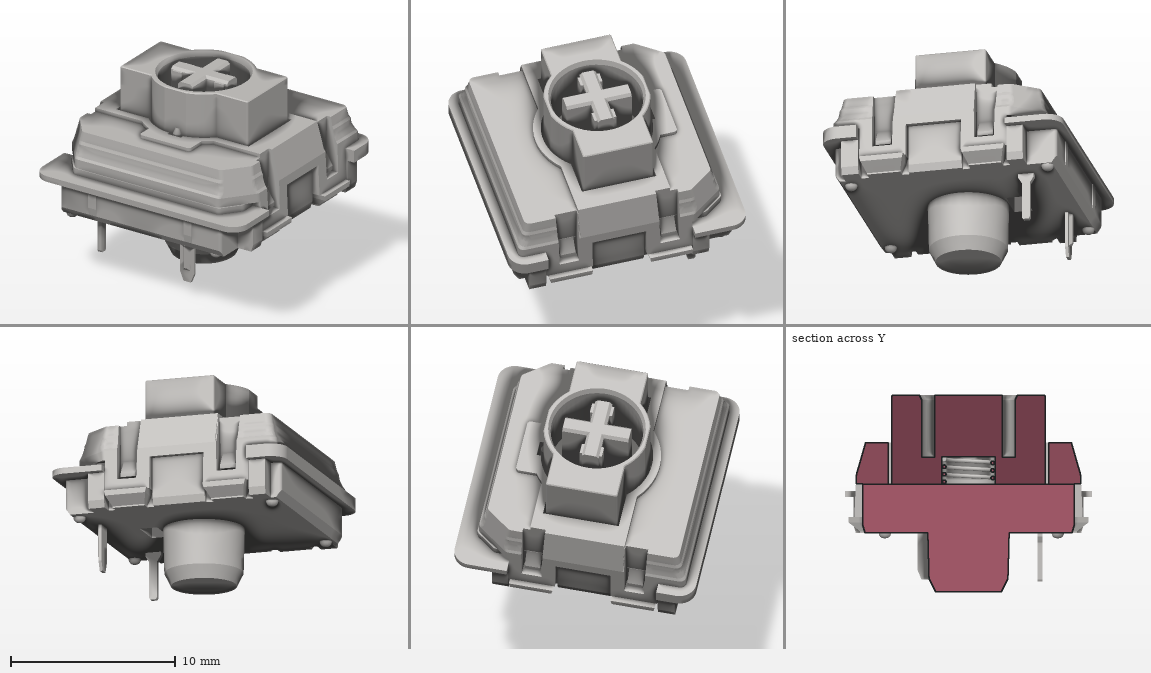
import cadquery as cq
import math

POST_BOTTOM = -3.58
PLATE_BOTTOM = 2.18
PLATE_FRONT_TOP = 2.55
BASE_TOP = 2.97
COVER_TOP = 5.24
PLATEAU_TOP = 5.49
STEM_TOP = 8.37
OVERLAP = 0.15

PLATE_SIZE = 15
PLATE_CORNER_R = 1.05
PLATE_REAR_Y = 5.22
PLATE_FRONT_Y = -4.06
CORE_HALF_X = 5.88
CORE_HALF_Y = 6.95
CORE_CORNER_R = 0.2
CORE_FOOT_Z = 0.46
CORE_FOOT_Y = 6.62
CHEST_HALF_X = 6.06
CHEEK_HALF_X = 7.0
CHEEK_FOOT_X = 6.85
CHEEK_REAR_Y = 6.27
CHEEK_FRONT_Y = -5.08
BLOCK_HALF_X = 6.45
BLOCK_FRONT_Y = -1.12
BLOCK_REAR_Y = 2.2
PAD_HALF_X = 6.3
PAD_FRONT_Y = -6.35
WALL_RIB_X = 3.5
WALL_RIB_WIDTH = 0.55
WALL_RIB_HEIGHT = 0.08
WALL_RIB_Z = 0.96
LIGHT_HOLE_X = (-0.98, 1.35)
LIGHT_HOLE_Y = (-3.68, -2.55)
POST_TOP_R = 2.49
POST_LOW_R = 2.42
POST_TIP_R = 2.01
POST_BEVEL_Z = -2.78
FOOT_R = 0.38
FOOT_HEIGHT = 0.33
FOOT_ROUND = 0.32
FEET = [(-5.43, -6.27), (-5.13, 6.09), (5.08, -6.27), (5.08, 6.09)]

LEG_SPANS = [(-4.05, -1.18), (2.26, 5.16)]
LEG_BOTTOM = 0.96
LIP_HALF_X = 7.29
LIP_EDGE_Z = 0.63
LIP_LOW_Z = 0.09
LIP_FOOT_X = 6.6
LIP_SIDE_GAP = 0.08
LIP_EDGE_DRAFT = 0.08
LIP_SIDE_DRAFT = 0.33
SLOT_CENTRES = [-2.64, 3.74]
SLOT_HALF_TOP = 0.7
SLOT_HALF_BOTTOM = 0.62
SLOT_BOTTOM = 1.7
SLOT_HALF_X = 6.03
HOOK_WIDTH = 0.96
HOOK_HALF_X = 6.6
HOOK_NOSE_TOP = 2.15
HOOK_NOSE_BOTTOM = 1.89

COVER_HALF_X = 6.82
COVER_FRONT_Y = -6.25
COVER_REAR_Y = 6.87
WALL_DRAFT = 0.046
OUTLINE_ROUND = 0.38
BAND_TOP = 4.64
BAND_LOW = 4.44
HOLLOW_MID = 4.08
SHOULDER_TOP = 3.7
SHOULDER = 3.55
TOP_INSET = 0.51
BAND_TOP_INSET = 0.39
BAND_LOW_INSET = 0.3
HOLLOW_INSET = 0.25
SHOULDER_TOP_INSET = 0.1
CORNER_ANGLE = 38
CORNER_DISTANCE = 7.98
CORNER_TOP_DISTANCE = 7.53
CORNER_PAD_DISTANCE = 8.08
PANEL_TOP_HALF_X = 6.27
PLATEAU_FRONT_Y = -2.9
PLATEAU_REAR_Y = 3
PLATEAU_R = 3.9
TONGUE_X = (-1.65, 2.05)
TONGUE_FRONT_Y = -4.64
TONGUE_ROUND = 0.22
OPENING_HALF_X = 4.86
OPENING_HALF_Y = 2.35
OPENING_R = 3.42
NOTCH_X = (-0.28, 0.7)
NOTCH_FRONT_Y = -3.6

STEM_HALF_X = 4.68
STEM_HALF_Y = 2.22
STEM_EDGE_ROUND = 0.12
STEM_R = 3.25
STEM_FLAT_Y = 3.158
STEM_TOP_BEVEL = 0.06
WELL_R = 2.82
WELL_RIM_R = 2.97
WELL_RIM_DEPTH = 0.3
WELL_DEPTH = 3.75
SPRING_BORE_R = 1.62
CROSS_LENGTH = 4.11
CROSS_WIDTH = 1.05
CROSS_BEVEL = 0.16
CROSS_PAD_X = 1.53
CROSS_PAD_LENGTH = 0.69
CROSS_PAD_WIDTH = 1.38
NIB_X = 0.18
NIB_R = 0.28
NIB_TIP_R = 0.14
NIB_TOP = 5.82

SPRING_WIRE_R = 0.12
SPRING_COIL_R = 1.47
SPRING_TURNS = 3
SPRING_END_GAP = 0.02

PIN_ROOT_Z = 0.6
SIDE_PIN_X = -4.35
SIDE_PIN_Y = -4.68
SIDE_PIN_THICKNESS = 0.32
SIDE_PIN_WIDTH = 0.51
SIDE_PIN_ROOT_WIDTH = 0.99
SIDE_PIN_SHOULDER = -0.22
SIDE_PIN_NECK = -0.6
SIDE_PIN_TAPER = -2.84
SIDE_PIN_TIP = -2.97
SIDE_PIN_TIP_WIDTH = 0.36
FRONT_PIN_X = 2.6
FRONT_PIN_Y = (-5.73, -5.54)
FRONT_PIN_WIDTH = 1.0
FRONT_PIN_TAPER = -2.26
FRONT_PIN_TIP = -2.85
FRONT_PIN_TIP_WIDTH = 0.52
BEAD_WIDTH = 0.51
BEAD_CREST_WIDTH = 0.18
BEAD_HEIGHT = 0.18
BEAD_FLAT_END = -1.89
BEAD_END = -2.08


def box(x_range, y_range, z_range):
    size = [high - low for low, high in (x_range, y_range, z_range)]
    low_corner = (x_range[0], y_range[0], z_range[0])
    return cq.Workplane("XY").box(*size, centered=False).translate(low_corner)


def along_y(points, y_low, y_high):
    """Extrude an outline of (x, z) points from y_low to y_high."""
    return cq.Workplane("XZ", origin=(0, y_high, 0)).polyline(points).close().extrude(y_high - y_low)


def along_x(points, x_low, x_high):
    """Extrude an outline of (y, z) points from x_low to x_high."""
    return cq.Workplane("YZ", origin=(x_low, 0, 0)).polyline(points).close().extrude(x_high - x_low)


def both_sides(shape):
    """The shape together with its mirror image across the YZ plane."""
    return shape.union(shape.mirror("YZ"))


def cylinder(radius, z_low, z_high):
    return cq.Workplane("XY", origin=(0, 0, z_low)).circle(radius).extrude(z_high - z_low)


def cone(low_radius, high_radius, z_low, z_high):
    outline = [(0, z_low), (low_radius, z_low), (high_radius, z_high), (0, z_high)]
    return cq.Workplane("XZ").polyline(outline).close().revolve(360, (0, 0, 0), (0, 1, 0))


def rounded_outline(half_x, front_y, rear_y, corner_distance):
    """Rectangle with its front corners cut off at CORNER_ANGLE, and all its corners rounded."""
    across = math.cos(math.radians(CORNER_ANGLE))
    along = math.sin(math.radians(CORNER_ANGLE))
    cut_side_y = -(corner_distance - half_x * across) / along
    cut_front_x = (corner_distance + front_y * along) / across
    points = [
        (half_x, rear_y), (-half_x, rear_y), (-half_x, cut_side_y),
        (-cut_front_x, front_y), (cut_front_x, front_y), (half_x, cut_side_y),
    ]
    return cq.Sketch().polygon(points + points[:1]).vertices().fillet(OUTLINE_ROUND)


def make_side_pin():
    half = SIDE_PIN_WIDTH / 2
    root = SIDE_PIN_ROOT_WIDTH / 2
    tip = SIDE_PIN_TIP_WIDTH / 2
    right_edge = [
        (root, PIN_ROOT_Z), (root, SIDE_PIN_SHOULDER), (half, SIDE_PIN_NECK),
        (half, SIDE_PIN_TAPER), (tip, SIDE_PIN_TIP),
    ]
    outline = right_edge + [(-y, z) for y, z in reversed(right_edge)]
    half_thickness = SIDE_PIN_THICKNESS / 2
    return along_x(outline, -half_thickness, half_thickness).translate((SIDE_PIN_X, SIDE_PIN_Y, 0))


def make_front_pin():
    half = FRONT_PIN_WIDTH / 2
    tip = FRONT_PIN_TIP_WIDTH / 2
    outline = [
        (-half, PIN_ROOT_Z), (half, PIN_ROOT_Z), (half, FRONT_PIN_TAPER),
        (tip, FRONT_PIN_TIP), (-tip, FRONT_PIN_TIP), (-half, FRONT_PIN_TAPER),
    ]
    blade = along_y(outline, *FRONT_PIN_Y)
    face_y = FRONT_PIN_Y[0]
    bead_height = PIN_ROOT_Z - BEAD_END
    bead = (
        cq.Workplane("XY", origin=(0, face_y, BEAD_END))
        .polyline([
            (-BEAD_WIDTH / 2, 0), (BEAD_WIDTH / 2, 0),
            (BEAD_CREST_WIDTH / 2, -BEAD_HEIGHT), (-BEAD_CREST_WIDTH / 2, -BEAD_HEIGHT),
        ])
        .close()
        .extrude(bead_height)
    )
    crest_y = face_y - BEAD_HEIGHT
    bead_end_bevel = along_x(
        [(face_y, BEAD_END), (crest_y, BEAD_FLAT_END), (crest_y, BEAD_END)], -BEAD_WIDTH, BEAD_WIDTH
    )
    return blade.union(bead.cut(bead_end_bevel)).translate((FRONT_PIN_X, 0, 0))


def make_plate():
    plate = (
        box((-PLATE_SIZE / 2, PLATE_SIZE / 2), (-PLATE_SIZE / 2, PLATE_SIZE / 2), (PLATE_BOTTOM, BASE_TOP))
        .edges("|Z")
        .fillet(PLATE_CORNER_R)
    )
    full_x = (-PLATE_SIZE, PLATE_SIZE)
    leg_gap = box(full_x, (PLATE_FRONT_Y, PLATE_REAR_Y), (0, STEM_TOP))
    front_step = box(full_x, (-PLATE_SIZE, PLATE_FRONT_Y), (PLATE_FRONT_TOP, STEM_TOP))
    return plate.cut(leg_gap).cut(front_step)


def make_core():
    foot_y = CORE_FOOT_Y
    wall_y = CORE_HALF_Y
    outline = [
        (-foot_y, 0), (foot_y, 0), (wall_y, CORE_FOOT_Z),
        (wall_y, PLATE_BOTTOM), (-wall_y, PLATE_BOTTOM), (-wall_y, CORE_FOOT_Z),
    ]
    core = along_x(outline, -CORE_HALF_X, CORE_HALF_X).edges("|Z").fillet(CORE_CORNER_R)
    chest = box((-CHEST_HALF_X, CHEST_HALF_X), (PLATE_FRONT_Y, PLATE_REAR_Y), (0, BASE_TOP))
    pad = (
        cq.Workplane("XY", origin=(0, 0, PLATE_BOTTOM))
        .placeSketch(rounded_outline(PAD_HALF_X, PAD_FRONT_Y, 0, CORNER_PAD_DISTANCE))
        .extrude(BASE_TOP - PLATE_BOTTOM)
    )
    front = box((-PLATE_SIZE, PLATE_SIZE), (-PLATE_SIZE, PLATE_FRONT_Y), (0, BASE_TOP))
    return core.union(chest).union(pad.intersect(front))


def make_side_wall(half_x, foot_x, y_low, y_high, top):
    """A stretch of both side walls, bevelled along its lower edge."""
    outline = [
        (-half_x, top), (-half_x, CORE_FOOT_Z), (-foot_x, 0),
        (foot_x, 0), (half_x, CORE_FOOT_Z), (half_x, top),
    ]
    return along_y(outline, y_low, y_high)


def make_lip(leg_low, leg_high):
    """Snap lip on both sides below one pair of cover legs, tapering toward the bottom."""
    outline = [
        (-CORE_HALF_X, LEG_BOTTOM), (-LIP_HALF_X, LEG_BOTTOM), (-LIP_HALF_X, LIP_EDGE_Z),
        (-LIP_FOOT_X, LIP_LOW_Z), (-LIP_FOOT_X, 0), (-CORE_HALF_X, 0),
    ]
    y_low = leg_low + LIP_SIDE_GAP
    y_high = leg_high - LIP_SIDE_GAP
    side_taper = along_x(
        [
            (y_low, LEG_BOTTOM), (y_high, LEG_BOTTOM), (y_high - LIP_EDGE_DRAFT, LIP_EDGE_Z),
            (y_high - LIP_SIDE_DRAFT, LIP_LOW_Z), (y_high - LIP_SIDE_DRAFT, 0),
            (y_low + LIP_SIDE_DRAFT, 0), (y_low + LIP_SIDE_DRAFT, LIP_LOW_Z),
            (y_low + LIP_EDGE_DRAFT, LIP_EDGE_Z),
        ],
        -PLATE_SIZE, 0,
    )
    return both_sides(along_y(outline, y_low, y_high).intersect(side_taper))


def make_hook(y_centre):
    """Latch hook on both sides, reaching into one pair of cover slots."""
    outline = [
        (-CORE_HALF_X, BASE_TOP), (-CHEST_HALF_X, BASE_TOP), (-HOOK_HALF_X, HOOK_NOSE_TOP),
        (-HOOK_HALF_X, HOOK_NOSE_BOTTOM), (-CORE_HALF_X, HOOK_NOSE_BOTTOM),
    ]
    return both_sides(along_y(outline, y_centre - HOOK_WIDTH / 2, y_centre + HOOK_WIDTH / 2))


def make_wall_rib():
    """Rib on the front wall, tapering out toward the bottom."""
    outline = [
        (-CORE_HALF_Y, PLATE_BOTTOM), (-CORE_HALF_Y - WALL_RIB_HEIGHT, PLATE_BOTTOM),
        (-CORE_HALF_Y - WALL_RIB_HEIGHT, WALL_RIB_Z), (-CORE_HALF_Y, CORE_FOOT_Z),
    ]
    left = -WALL_RIB_X - WALL_RIB_WIDTH / 2
    return both_sides(along_x(outline, left, left + WALL_RIB_WIDTH))


def make_post():
    shaft = cone(POST_LOW_R, POST_TOP_R, POST_BEVEL_Z, 0)
    tip = cone(POST_TIP_R, POST_LOW_R, POST_BOTTOM, POST_BEVEL_Z)
    return shaft.union(tip)


def make_foot(x, y):
    foot = cylinder(FOOT_R, -FOOT_HEIGHT, 0).faces("<Z").edges().fillet(FOOT_ROUND)
    return foot.translate((x, y, 0))


def make_base(pins):
    base = make_plate().union(make_core())
    base = base.union(make_side_wall(CHEEK_HALF_X, CHEEK_FOOT_X, CHEEK_FRONT_Y, PLATE_FRONT_Y, PLATE_BOTTOM))
    base = base.union(make_side_wall(CHEEK_HALF_X, CHEEK_FOOT_X, PLATE_REAR_Y, CHEEK_REAR_Y, PLATE_BOTTOM))
    block_foot_x = BLOCK_HALF_X - CHEEK_HALF_X + CHEEK_FOOT_X
    base = base.union(make_side_wall(BLOCK_HALF_X, block_foot_x, BLOCK_FRONT_Y, BLOCK_REAR_Y, BASE_TOP))
    for y_low, y_high in LEG_SPANS:
        base = base.union(make_lip(y_low, y_high))
    for y_centre in SLOT_CENTRES:
        base = base.union(make_hook(y_centre))
    base = base.union(make_wall_rib()).union(make_post())
    for x, y in FEET:
        base = base.union(make_foot(x, y))
    base = base.cut(box(LIGHT_HOLE_X, LIGHT_HOLE_Y, (-OVERLAP, BASE_TOP + OVERLAP)))
    for pin in pins:
        base = base.cut(pin)
    return base


def cover_section(z, inset):
    """Outline of the cover at height z, set in from its outline at the shoulder."""
    slope = (CORNER_TOP_DISTANCE - CORNER_DISTANCE) / (COVER_TOP - SHOULDER)
    corner_distance = CORNER_DISTANCE + slope * max(0, z - SHOULDER)
    outline = rounded_outline(
        COVER_HALF_X - inset, COVER_FRONT_Y + inset, COVER_REAR_Y - inset, corner_distance
    )
    return outline.moved(cq.Location(cq.Vector(0, 0, z)))


def make_cover_body():
    """Stack of sloping bands, the middle one hollow."""
    shoulder_top = (SHOULDER_TOP, SHOULDER_TOP_INSET)
    band_low = (BAND_LOW, BAND_LOW_INSET)
    band_top = (BAND_TOP, BAND_TOP_INSET)
    bands = [
        [(BASE_TOP, -WALL_DRAFT * (SHOULDER - BASE_TOP)), (SHOULDER, 0)],
        [(SHOULDER, 0), shoulder_top],
        [shoulder_top, (HOLLOW_MID, HOLLOW_INSET), band_low],
        [band_low, band_top],
        [band_top, (COVER_TOP, TOP_INSET)],
    ]
    body = cq.Workplane("XY")
    for band in bands:
        sections = [cover_section(z, inset) for z, inset in band]
        body = body.union(cq.Workplane("XY").placeSketch(*sections).loft())
    return body


def make_plateau():
    """Raised middle of the cover with its flat side panels, round middle and front tongue."""
    panel = along_y(
        [
            (-COVER_HALF_X, BASE_TOP), (COVER_HALF_X, BASE_TOP), (COVER_HALF_X, SHOULDER),
            (PANEL_TOP_HALF_X, PLATEAU_TOP), (-PANEL_TOP_HALF_X, PLATEAU_TOP), (-COVER_HALF_X, SHOULDER),
        ],
        PLATEAU_FRONT_Y, PLATEAU_REAR_Y,
    )
    tongue = box(TONGUE_X, (TONGUE_FRONT_Y, 0), (BASE_TOP, PLATEAU_TOP))
    tongue = tongue.edges("|Z and <Y").fillet(TONGUE_ROUND)
    return panel.union(tongue).union(cylinder(PLATEAU_R, BASE_TOP, PLATEAU_TOP))


def make_leg(y_low, y_high):
    """Legs on both sides, leaning out in line with the walls above them."""
    top_x = COVER_HALF_X + WALL_DRAFT * (SHOULDER - BASE_TOP)
    foot_x = COVER_HALF_X + WALL_DRAFT * (SHOULDER - LEG_BOTTOM)
    outline = [
        (-CHEST_HALF_X, BASE_TOP), (-top_x, BASE_TOP),
        (-foot_x, LEG_BOTTOM), (-CHEST_HALF_X, LEG_BOTTOM),
    ]
    return both_sides(along_y(outline, y_low, y_high))


def make_slot(y_centre):
    """Latch slot on both sides, from the top of the cover into one pair of legs."""
    outline = [
        (y_centre - SLOT_HALF_BOTTOM, SLOT_BOTTOM), (y_centre + SLOT_HALF_BOTTOM, SLOT_BOTTOM),
        (y_centre + SLOT_HALF_TOP, PLATEAU_TOP), (y_centre - SLOT_HALF_TOP, PLATEAU_TOP),
    ]
    return both_sides(along_x(outline, -PLATE_SIZE, -SLOT_HALF_X))


def make_opening():
    heights = (BASE_TOP - OVERLAP, PLATEAU_TOP + OVERLAP)
    slot = box((-OPENING_HALF_X, OPENING_HALF_X), (-OPENING_HALF_Y, OPENING_HALF_Y), heights)
    notch = box(NOTCH_X, (NOTCH_FRONT_Y, 0), heights)
    return slot.union(cylinder(OPENING_R, *heights)).union(notch)


def make_cover():
    cover = make_cover_body().union(make_plateau())
    for y_low, y_high in LEG_SPANS:
        cover = cover.union(make_leg(y_low, y_high))
    for y_centre in SLOT_CENTRES:
        cover = cover.cut(make_slot(y_centre))
    return cover.cut(make_opening())


def make_cross():
    """Cross standing in the well, with bevelled top edges and thickened arms along X."""
    half_length = CROSS_LENGTH / 2
    half_width = CROSS_WIDTH / 2
    arm = box((-half_length, half_length), (-half_width, half_width), (STEM_TOP - WELL_DEPTH, STEM_TOP))
    arm = arm.faces(">Z").edges("|X").chamfer(CROSS_BEVEL)
    cross = arm.union(arm.rotate((0, 0, 0), (0, 0, 1), 90))
    pad_inner = CROSS_PAD_X - CROSS_PAD_LENGTH / 2
    pad = box(
        (pad_inner, pad_inner + CROSS_PAD_LENGTH), (-CROSS_PAD_WIDTH / 2, CROSS_PAD_WIDTH / 2),
        (STEM_TOP - WELL_DEPTH, STEM_TOP - CROSS_BEVEL),
    )
    return cross.union(both_sides(pad))


def make_stem():
    heights = (BASE_TOP, STEM_TOP)
    wings = box((-STEM_HALF_X, STEM_HALF_X), (-STEM_HALF_Y, STEM_HALF_Y), heights)
    wings = wings.edges("|Z").fillet(STEM_EDGE_ROUND)
    flats = box((-STEM_R, STEM_R), (-STEM_FLAT_Y, STEM_FLAT_Y), heights)
    barrel = cylinder(STEM_R, *heights).intersect(flats)
    stem = wings.union(barrel).faces(">Z").edges().chamfer(STEM_TOP_BEVEL)

    well_floor = STEM_TOP - WELL_DEPTH
    stem = stem.cut(cylinder(WELL_R, well_floor, STEM_TOP))
    stem = stem.cut(cone(WELL_R, WELL_RIM_R, STEM_TOP - WELL_RIM_DEPTH, STEM_TOP))
    stem = stem.cut(cylinder(SPRING_BORE_R, BASE_TOP, well_floor)).union(make_cross())

    nib = cylinder(NIB_R, BASE_TOP, PLATEAU_TOP).union(cone(NIB_R, NIB_TIP_R, PLATEAU_TOP, NIB_TOP))
    return stem.union(nib.translate((NIB_X, -STEM_FLAT_Y, 0)))


def make_spring():
    end_clearance = SPRING_WIRE_R + SPRING_END_GAP
    height = STEM_TOP - WELL_DEPTH - BASE_TOP - 2 * end_clearance
    helix = cq.Wire.makeHelix(height / SPRING_TURNS, height, SPRING_COIL_R)
    wire_section = cq.Workplane("XZ", origin=(SPRING_COIL_R, 0, 0)).circle(SPRING_WIRE_R)
    spring = wire_section.sweep(cq.Workplane(obj=helix), isFrenet=True)
    return spring.translate((0, 0, BASE_TOP + end_clearance))


side_pin = make_side_pin()
front_pin = make_front_pin()
base = make_base([side_pin, front_pin])
cover = make_cover()
stem = make_stem()
spring = make_spring()

bodies = [base, cover, stem, spring, side_pin, front_pin]
result = cq.Compound.makeCompound([body.solids().val() for body in bodies])